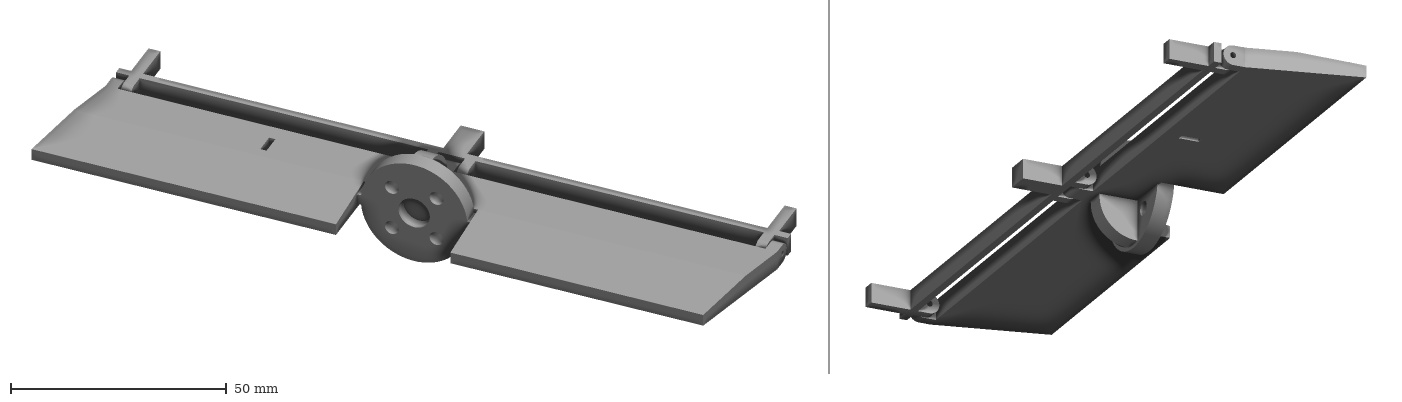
import cadquery as cq


hinge_span = 170.0
wing_depth = 28.0
wing_thickness = 5.0
trailing_edge_height = 3.0
crease_depth = 12.0
overall_length = 176.5
sweep = overall_length - hinge_span
notch_width = 29.0
slot_x = -41.0
slot_y = -6.9
slot_width = 1.5
slot_length = 5.1

hub_diameter = 27.0
hub_back = 11.6
hub_front = 15.9
bore_diameter = 8.0
bore_depth = 3.0
mount_hole_diameter = 3.5
mount_hole_offset = 5.6
rib_width = 4.8
rib_height = 25.0
rib_end = 2.0
rib_corner_radius = 9.5

web_height = 2.6
tongue_height = 1.5
tongue_depth = 1.8

hinge_gap = 6.0
hinge_axis_y = hinge_gap / 2
pin_hole_diameter = 1.5
strip_thickness = 2.0
arm_end = 18.0
end_arm_width = 3.0
middle_arm_width = 6.0
knuckle_clearance = 0.4

half_span = hinge_span / 2
half_thickness = wing_thickness / 2
hub_radius = hub_diameter / 2


def box(x_range, y_range, z_range):
    """A box given by its lower and upper limit along each axis."""
    limits = (x_range, y_range, z_range)
    sizes = [high - low for low, high in limits]
    corner = [low for low, high in limits]
    return cq.Workplane("XY").box(*sizes, centered=False).translate(tuple(corner))


def cylinder_y(diameter, y_start, y_end, x=0.0, z=0.0):
    """A cylinder along Y from y_start to the larger y_end."""
    disc = cq.Workplane("XZ", origin=(x, y_start, z)).circle(diameter / 2)
    return disc.extrude(y_start - y_end)


def hub_disc():
    """The solid disc of the hub, also used to cut its seat in the wing."""
    return cylinder_y(hub_diameter, -hub_front, -hub_back)


def pin_hole():
    """The straight hinge pin hole through all knuckles."""
    plane = cq.Workplane("YZ", origin=(-half_span, hinge_axis_y, 0))
    return plane.circle(pin_hole_diameter / 2).extrude(hinge_span)


def knuckle(x_range, root_y):
    """A hinge knuckle that starts at root_y and ends in a half round about the hinge axis."""
    x_start, x_end = x_range
    round_end = (
        cq.Workplane("YZ", origin=(x_start, hinge_axis_y, 0))
        .circle(half_thickness)
        .extrude(x_end - x_start)
    )
    y_range = sorted((root_y, hinge_axis_y))
    return box(x_range, y_range, (-half_thickness, half_thickness)).union(round_end)


def wing_plate():
    """The swept plate with its sloping top and the notch for the hub."""
    profile = [
        (0, -half_thickness),
        (0, half_thickness),
        (-crease_depth, half_thickness),
        (-wing_depth, trailing_edge_height - half_thickness),
        (-wing_depth, -half_thickness),
    ]
    section = cq.Workplane("YZ", origin=(-half_span - sweep, 0, 0)).polyline(profile).close()
    plan = [
        (-half_span, 0),
        (half_span, 0),
        (half_span - sweep, -wing_depth),
        (-half_span - sweep, -wing_depth),
    ]
    outline = (
        cq.Workplane("XY", origin=(0, 0, -half_thickness))
        .polyline(plan)
        .close()
        .extrude(wing_thickness)
    )
    notch = box(
        (-notch_width / 2, notch_width / 2),
        (-wing_depth, -crease_depth),
        (-half_thickness, half_thickness),
    )
    return section.extrude(overall_length).intersect(outline).cut(notch)


def webs():
    """The bar across the notch, flush with the hub's front, before the hub's place is cut out."""
    return box(
        (-notch_width / 2, notch_width / 2),
        (-hub_front, -crease_depth),
        (-web_height / 2, web_height / 2),
    )


def tongues():
    """The two flat tongues that run from the webs to the hub's bore."""
    bar = box(
        (-hub_radius, hub_radius),
        (-hub_front, -hub_front + tongue_depth),
        (-tongue_height / 2, tongue_height / 2),
    )
    bore = cylinder_y(bore_diameter, -hub_front, -hub_back)
    return bar.intersect(hub_disc()).cut(bore)


def wing_knuckle_ranges():
    """X limits of the wing's knuckles: one at each end and one in the middle."""
    return [
        (-half_span, -half_span + end_arm_width),
        (-middle_arm_width / 2, middle_arm_width / 2),
        (half_span - end_arm_width, half_span),
    ]


def build_wing():
    slot = box(
        (slot_x - slot_width / 2, slot_x + slot_width / 2),
        (slot_y - slot_length / 2, slot_y + slot_length / 2),
        (-half_thickness, half_thickness),
    )
    body = wing_plate().union(webs()).cut(hub_disc())
    body = body.union(tongues()).cut(slot)
    for x_range in wing_knuckle_ranges():
        body = body.union(knuckle(x_range, 0))
    return body.cut(pin_hole())


def build_hub():
    """The mounting disc with a rib that straddles the wing above and below."""
    rib = (
        box(
            (-rib_width / 2, rib_width / 2),
            (-hub_back, -rib_end),
            (-rib_height / 2, rib_height / 2),
        )
        .edges("|X and >Y")
        .fillet(rib_corner_radius)
    )
    wing_gap = box(
        (-rib_width / 2, rib_width / 2),
        (-hub_back, -rib_end),
        (-half_thickness, half_thickness),
    )
    body = hub_disc().union(rib.cut(wing_gap))
    body = body.cut(cylinder_y(bore_diameter, -hub_front, -hub_front + bore_depth))
    for x in (-mount_hole_offset, mount_hole_offset):
        for z in (-mount_hole_offset, mount_hole_offset):
            body = body.cut(cylinder_y(mount_hole_diameter, -hub_front, -hub_back, x, z))
    return body.cut(tongues())


def build_flap():
    """The strip behind the hinge with its control arms and knuckles."""
    z_range = (-half_thickness, half_thickness)
    strip_back = hinge_gap + strip_thickness
    body = box((-half_span, half_span), (hinge_gap, strip_back), z_range)

    end_arm_inner = half_span - 2 * end_arm_width
    end_arm_outer = half_span - end_arm_width
    arm_ranges = [
        (-end_arm_outer, -end_arm_inner),
        (-middle_arm_width / 2, middle_arm_width / 2),
        (end_arm_inner, end_arm_outer),
    ]
    for x_range in arm_ranges:
        body = body.union(box(x_range, (strip_back, arm_end), z_range))

    middle_inner = middle_arm_width / 2 + knuckle_clearance
    middle_outer = middle_arm_width
    end_outer = end_arm_outer - knuckle_clearance
    knuckle_ranges = [
        (-end_outer, -end_arm_inner),
        (-middle_outer, -middle_inner),
        (middle_inner, middle_outer),
        (end_arm_inner, end_outer),
    ]
    for x_range in knuckle_ranges:
        body = body.union(knuckle(x_range, hinge_gap))
    return body.cut(pin_hole())


wing = build_wing()
hub = build_hub()
flap = build_flap()

result = cq.Compound.makeCompound([wing.solids().val(), hub.solids().val(), flap.solids().val()])